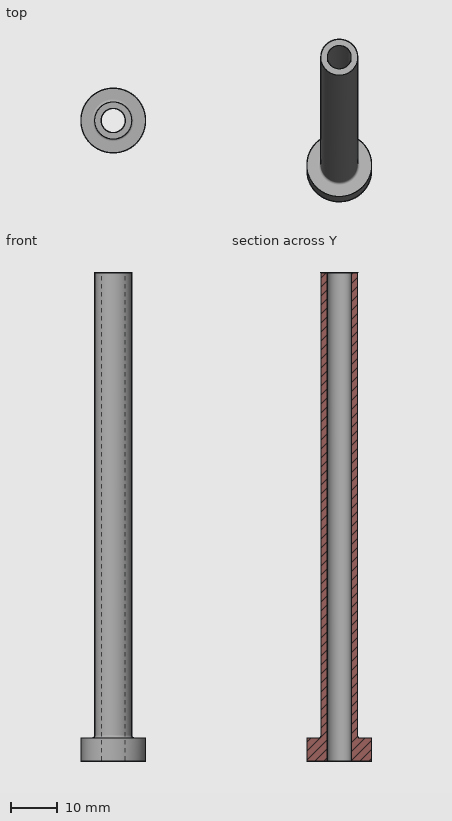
import cadquery as cq

total_length = 105.0
head_diameter = 14.0
head_height = 5.0
shank_diameter = 8.0
bore_diameter = 5.1
neck_fillet = 0.5

head = cq.Workplane("XY").circle(head_diameter / 2).extrude(head_height)
shank = cq.Workplane("XY").circle(shank_diameter / 2).extrude(total_length)
body = head.union(shank)

neck_edge = cq.selectors.RadiusNthSelector(0)
body = body.faces("<Z[1]").edges(neck_edge).fillet(neck_fillet)

bore = cq.Workplane("XY").circle(bore_diameter / 2).extrude(total_length)

result = body.cut(bore)